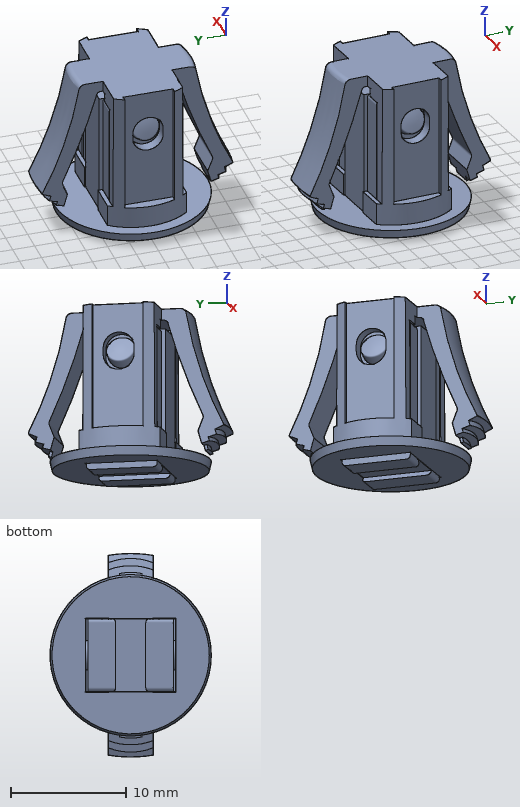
import cadquery as cq
import math

flange_top = 0.8
base_top = 2.79
body_top = 13.78
window_top = 12.02
notch_top = 12.8

flange_radius = 14.0 / 2
flange_bottom_radius = 6.81
body_radius = 5.9
base_half_width = 3.6
column_half_width_top = 3.15
column_half_width_bottom = 3.2
flat_distance = 4.98
flat_half_width = 2.26

window_half_top = 3.88
window_half_bottom = 3.92
notch_half = 2.47

rocker_half_length = 3.7
rocker_half_width = 3.15
rocker_bottom = -0.51
rocker_fillet = 0.34
groove_half_bottom = 1.3
groove_half_top = 1.7

rib_half_length = 1.92
rib_half_width = 3.5
rib_slot_half = 1.98

hole_radius = 1.38
hole_low = 9.37
hole_high = 9.9
pin_radius = 1.27
pin_tilt = 23.0
pin_end_x = 4.18
pin_end_z = 9.94
pin_length = 1.76
pin_edge_radius = 0.15
pin_dome_height = 0.1

arm_half_length = 1.96
arm_round_start = (5.01, body_top)
arm_round_end = (5.55, 13.41)
arm_outer_middle = (6.8, 8.26)
arm_tip = (17.65 / 2, 3.37)
arm_foot = (7.84, 2.93)
arm_heel = (6.37, 2.88)
arm_inner_knee = (6.87, 4.13)
arm_inner_middle = (5.07, 8.42)
arm_inner_top = (3.64, notch_top)
arm_inner_fillet = 0.35
crown_axis_offset = 3.0
blank_allowance = 0.35

step_tilt = 16.0
step_radius = 5.12
step_sizes = [
    (1.87, 0.81, arm_half_length),
    (1.11, 1.16, arm_half_length),
    (0.37, 1.62, 0.99),
]


def centred_box(half_x, half_y, bottom, top):
    box = cq.Workplane("XY").workplane(offset=bottom).rect(2 * half_x, 2 * half_y)
    return box.extrude(top - bottom)


def both_sides(solid, plane):
    return solid.union(solid.mirror(plane))


def make_flange():
    cone = cq.Workplane("XZ").polyline(
        [(0, 0), (flange_bottom_radius, 0), (flange_radius, flange_top), (0, flange_top)]
    )
    return cone.close().revolve(360, (0, 0, 0), (0, 1, 0))


def make_base():
    disc = cq.Workplane("XY").circle(body_radius).extrude(base_top)
    base = disc.intersect(centred_box(body_radius, base_half_width, 0, base_top))
    rib_slot = centred_box(rib_slot_half, body_radius, flange_top, base_top)
    return base.cut(rib_slot)


def make_column():
    """Round column with two slightly drafted flat sides and a flat recess at each end."""
    disc = cq.Workplane("XY").circle(body_radius).extrude(body_top)
    slab = (
        cq.Workplane("YZ")
        .moveTo(-column_half_width_bottom, base_top)
        .lineTo(-column_half_width_top, body_top)
        .lineTo(column_half_width_top, body_top)
        .lineTo(column_half_width_bottom, base_top)
        .lineTo(column_half_width_bottom, 0)
        .lineTo(-column_half_width_bottom, 0)
        .close()
        .extrude(body_radius, both=True)
    )
    recess_depth = body_radius - flat_distance
    recess = centred_box(recess_depth, flat_half_width, base_top, body_top)
    recess = recess.translate((body_radius, 0, 0))
    return disc.intersect(slab).cut(both_sides(recess, "YZ"))


def make_window():
    """Opening for the rocker: through the column along Y and down through the flange."""
    window = (
        cq.Workplane("XZ")
        .moveTo(-window_half_bottom, 0)
        .lineTo(-window_half_bottom, base_top)
        .lineTo(-window_half_top, window_top)
        .lineTo(window_half_top, window_top)
        .lineTo(window_half_bottom, base_top)
        .lineTo(window_half_bottom, 0)
        .close()
        .extrude(column_half_width_bottom, both=True)
    )
    notch = centred_box(notch_half, column_half_width_bottom, window_top, notch_top)
    return window.union(notch)


def make_rocker():
    rocker = centred_box(rocker_half_length, rocker_half_width, rocker_bottom, window_top)
    rocker = rocker.edges("|X").fillet(rocker_fillet)
    groove = cq.Workplane("XZ").polyline(
        [
            (-groove_half_bottom, rocker_bottom),
            (groove_half_bottom, rocker_bottom),
            (groove_half_top, 0),
            (-groove_half_top, 0),
        ]
    )
    return rocker.cut(groove.close().extrude(rocker_half_width, both=True))


def make_pin_hole():
    length = hole_high - hole_low + 2 * hole_radius
    hole = cq.Workplane("YZ").center(0, (hole_low + hole_high) / 2).slot2D(length, 2 * hole_radius, 90)
    return hole.extrude(body_radius)


def make_pin():
    """Pin with a rounded rim and a shallow domed end, rising outward from the rocker."""
    dome_edge = pin_radius - pin_edge_radius
    dome_radius = (dome_edge**2 + pin_dome_height**2) / (2 * pin_dome_height)
    dome_middle = dome_edge / 2
    dome_middle_height = pin_dome_height - dome_radius + math.sqrt(dome_radius**2 - dome_middle**2)
    profile = (
        cq.Workplane("XY")
        .moveTo(-pin_length, 0)
        .lineTo(-pin_length, pin_radius)
        .lineTo(-pin_edge_radius, pin_radius)
        .tangentArcPoint((0, dome_edge), relative=False)
        .threePointArc((dome_middle_height, dome_middle), (pin_dome_height, 0))
        .close()
    )
    pin = profile.revolve(360, (0, 0, 0), (1, 0, 0))
    pin = pin.rotate((0, 0, 0), (0, 1, 0), -pin_tilt)
    return pin.translate((pin_end_x, 0, pin_end_z))


def make_step(reach, depth, half_length):
    """Block below the heel whose outer wall is a shallow arc."""
    angle = math.radians(step_tilt)
    down = (0, math.sin(angle), -math.cos(angle))
    heel = cq.Plane((0, *arm_heel), (-1, 0, 0), down)
    corner = reach - step_radius + math.sqrt(step_radius**2 - half_length**2)
    step = (
        cq.Workplane(heel)
        .moveTo(-half_length, 0)
        .lineTo(-half_length, corner)
        .threePointArc((0, reach), (half_length, corner))
        .lineTo(half_length, 0)
        .close()
    )
    return step.extrude(depth)


def make_arm():
    """Arm blade with a crowned outer face, plus the steps under its end."""
    end_slope = (arm_tip[1] - arm_foot[1]) / (arm_tip[0] - arm_foot[0])
    blank_edge = arm_tip[0] + blank_allowance
    blank_end = arm_tip[1] + blank_allowance * end_slope
    blade = (
        cq.Workplane("YZ")
        .moveTo(0, notch_top)
        .lineTo(0, body_top)
        .lineTo(blank_edge, body_top)
        .lineTo(blank_edge, blank_end)
        .lineTo(*arm_foot)
        .lineTo(*arm_heel)
        .lineTo(*arm_inner_knee)
        .threePointArc(arm_inner_middle, arm_inner_top)
        .close()
        .extrude(arm_half_length, both=True)
    )
    for corner in (arm_inner_knee, arm_inner_top):
        blade = blade.edges(cq.NearestToPointSelector((0, *corner))).fillet(arm_inner_fillet)

    crown = (
        cq.Workplane("YZ")
        .moveTo(-crown_axis_offset, body_top)
        .lineTo(*arm_round_start)
        .tangentArcPoint(arm_round_end, relative=False)
        .threePointArc(arm_outer_middle, arm_tip)
        .lineTo(arm_tip[0], 0)
        .lineTo(-crown_axis_offset, 0)
        .close()
        .revolve(360, (-crown_axis_offset, 0, 0), (-crown_axis_offset, 1, 0))
    )
    arm = blade.intersect(crown)

    for reach, depth, half_length in step_sizes:
        arm = arm.union(make_step(reach, depth, half_length))
    return arm


housing = make_flange().union(make_base()).union(make_column()).cut(make_window())
housing = housing.cut(both_sides(make_pin_hole(), "YZ"))
rib = centred_box(rib_half_length, rib_half_width, flange_top, window_top)
rocker = make_rocker().union(rib).union(both_sides(make_pin(), "YZ"))

result = housing.union(rocker).union(both_sides(make_arm(), "XZ"))